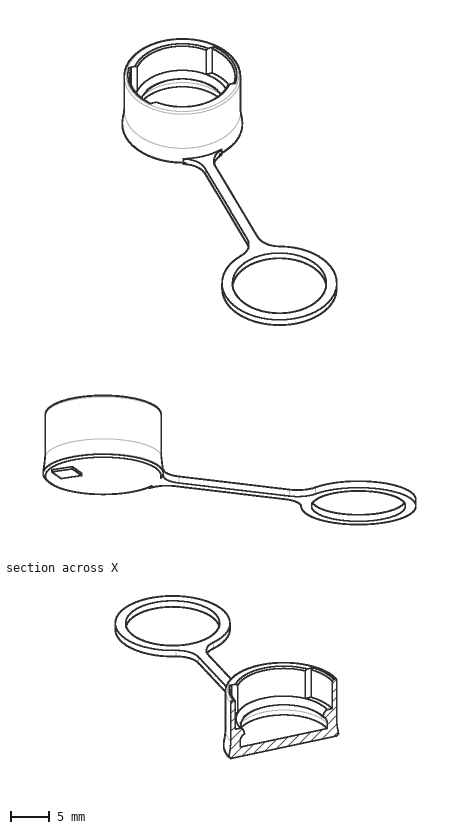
import cadquery as cq
import math


cap_height = 8.5
body_radius = 15.0 / 2
skirt_radius = 15.5 / 2
skirt_height = 2.5
collar_top = 0.45
bottom_chamfer = 0.3
rim_fillet = 0.25

bore_radius = 6.1
mouth_chamfer = 0.225
floor_height = 1.45
lip_top = 4.2
lip_height = 3.25
lip_projection = 0.6
lip_bottom = 2.2

recess_radius = 13.6 / 2
recess_width = 7.7

tether_thickness = 0.9
strap_width = 1.4
strap_fillet = 3.0
overall_length = 50.15
ring_outer_radius = 14.8 / 2
ring_inner_radius = 12.1 / 2
ring_x = overall_length - skirt_radius - ring_outer_radius

pad_side = 2.9
pad_height = 0.3
pad_x = -5.0
pad_turn = 45


def revolve_about_z(profile):
    """Turn a closed XZ profile a full turn about the Z axis."""
    return profile.close().revolve(360, (0, 0, 0), (0, 1, 0))


def arc_middle(center, start, end):
    """Halfway point of the short arc about center from start to end."""
    radius = math.dist(center, start)
    dx = (start[0] + end[0]) / 2 - center[0]
    dy = (start[1] + end[1]) / 2 - center[1]
    reach = radius / math.hypot(dx, dy)
    return (center[0] + dx * reach, center[1] + dy * reach)


def cap_outside():
    rim_start = (body_radius, cap_height - rim_fillet)
    rim_end = (body_radius - rim_fillet, cap_height)
    rim_center = (body_radius - rim_fillet, cap_height - rim_fillet)
    return revolve_about_z(
        cq.Workplane("XZ")
        .lineTo(skirt_radius - bottom_chamfer, 0)
        .lineTo(skirt_radius, bottom_chamfer)
        .lineTo(skirt_radius, collar_top)
        .lineTo(body_radius, skirt_height)
        .lineTo(*rim_start)
        .threePointArc(arc_middle(rim_center, rim_start, rim_end), rim_end)
        .lineTo(0, cap_height)
    )


def upright_arc_radius(run, rise):
    """Radius of an arc that spans run and rise and is upright at one end."""
    return (run ** 2 + rise ** 2) / (2 * run)


def cap_bore():
    """Bore with a lip that bulges down to its crest and is hollowed out underneath."""
    lip_start = (bore_radius, lip_top)
    crest = (bore_radius - lip_projection, lip_height)
    wall_top = (bore_radius, lip_bottom)
    bulge_radius = upright_arc_radius(lip_projection, lip_top - lip_height)
    bulge_center = (crest[0] + bulge_radius, lip_height)
    hollow_radius = upright_arc_radius(lip_projection, lip_height - lip_bottom)
    hollow_center = (bore_radius - hollow_radius, lip_bottom)
    return revolve_about_z(
        cq.Workplane("XZ")
        .moveTo(0, floor_height)
        .lineTo(bore_radius, floor_height)
        .lineTo(*wall_top)
        .threePointArc(arc_middle(hollow_center, wall_top, crest), crest)
        .threePointArc(arc_middle(bulge_center, crest, lip_start), lip_start)
        .lineTo(bore_radius, cap_height - mouth_chamfer)
        .lineTo(bore_radius + mouth_chamfer, cap_height)
        .lineTo(0, cap_height)
    )


def bore_recesses():
    """Two deeper stretches of bore, cut with straight sides, that stop at the lip."""
    wider_bore = revolve_about_z(
        cq.Workplane("XZ")
        .moveTo(0, lip_top)
        .lineTo(recess_radius, lip_top)
        .lineTo(recess_radius, cap_height - mouth_chamfer)
        .lineTo(recess_radius + mouth_chamfer, cap_height)
        .lineTo(0, cap_height)
    )
    band = cq.Workplane("XY").box(recess_width, 2 * body_radius, 2 * cap_height)
    return wider_bore.intersect(band)


def strap_flare(disc_x, disc_radius, strap_side):
    """Strap end blended into a disc; strap_side is +1 if the strap leaves towards +X."""
    half_width = strap_width / 2
    arc_y = half_width + strap_fillet
    center_distance = disc_radius + strap_fillet
    arc_dx = math.sqrt(center_distance ** 2 - arc_y ** 2)
    touch_ratio = disc_radius / center_distance
    arc_center = (disc_x + strap_side * arc_dx, arc_y)
    on_disc = (disc_x + strap_side * arc_dx * touch_ratio, arc_y * touch_ratio)
    on_strap = (arc_center[0], half_width)
    middle = arc_middle(arc_center, on_disc, on_strap)
    return (
        cq.Workplane("XY")
        .moveTo(on_disc[0], 0)
        .lineTo(*on_disc)
        .threePointArc(middle, on_strap)
        .lineTo(on_strap[0], -half_width)
        .threePointArc((middle[0], -middle[1]), (on_disc[0], -on_disc[1]))
        .close()
        .extrude(tether_thickness)
    )


def tether():
    strap = (
        cq.Workplane("XY")
        .center(ring_x / 2, 0)
        .rect(ring_x, strap_width)
        .extrude(tether_thickness)
    )
    ring_plane = cq.Workplane("XY").center(ring_x, 0)
    ring_disc = ring_plane.circle(ring_outer_radius).extrude(tether_thickness)
    ring_hole = ring_plane.circle(ring_inner_radius).extrude(tether_thickness)
    cap_flare = strap_flare(0, skirt_radius, 1)
    ring_flare = strap_flare(ring_x, ring_outer_radius, -1)
    return strap.union(cap_flare).union(ring_flare).union(ring_disc).cut(ring_hole)


def bottom_pad():
    """Shallow square pad standing on its corner, so one diagonal lies along X."""
    return (
        cq.Workplane("XY")
        .rect(pad_side, pad_side)
        .extrude(-pad_height)
        .rotate((0, 0, 0), (0, 0, 1), pad_turn)
        .translate((pad_x, 0, 0))
    )


result = (
    cap_outside()
    .union(tether())
    .union(bottom_pad())
    .cut(cap_bore())
    .cut(bore_recesses())
)